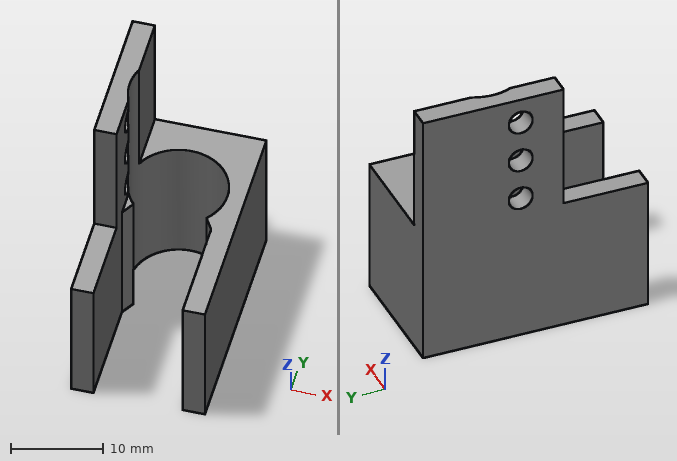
import cadquery as cq
import math

width = 15.0
depth = 26.5
total_height = 31.0
body_height = 16.0
wall = 2.5

bore_radius = 5.5
bore_from_back = 9.05
mouth_half_width = 4.1
flare_end_from_back = 14.2

plate_depth = 16.55
hole_diameter = 2.8
hole_from_back = 11.5
top_hole_drop = 3.0
hole_pitch = 5.0
hole_count = 3

back_y = depth / 2
front_y = -depth / 2
left_x = -width / 2
bore_y = back_y - bore_from_back
slot_half_width = width / 2 - wall


def make_body():
    """Clamp block together with the taller plate on its left wall."""
    block = cq.Workplane("XY").box(width, depth, body_height, centered=(True, True, False))
    plate = cq.Workplane("XY").box(wall, plate_depth, total_height, centered=False)
    return block.union(plate.translate((left_x, back_y - plate_depth, 0)))


def make_clamp_opening():
    """Round bore, flared mouth and front slot, cut through the full height."""
    lip_y = bore_y - math.sqrt(bore_radius**2 - mouth_half_width**2)
    flare_end_y = back_y - flare_end_from_back
    return (
        cq.Workplane("XY")
        .moveTo(-slot_half_width, front_y)
        .lineTo(-slot_half_width, flare_end_y)
        .lineTo(-mouth_half_width, lip_y)
        .threePointArc((0, bore_y + bore_radius), (mouth_half_width, lip_y))
        .lineTo(slot_half_width, flare_end_y)
        .lineTo(slot_half_width, front_y)
        .close()
        .extrude(total_height)
    )


def make_plate_holes():
    """Vertical row of round holes running along X through the raised plate."""
    centers = [
        (back_y - hole_from_back, total_height - top_hole_drop - i * hole_pitch)
        for i in range(hole_count)
    ]
    return (
        cq.Workplane("YZ", origin=(left_x, 0, 0))
        .pushPoints(centers)
        .circle(hole_diameter / 2)
        .extrude(wall)
    )


result = make_body().cut(make_clamp_opening()).cut(make_plate_holes())